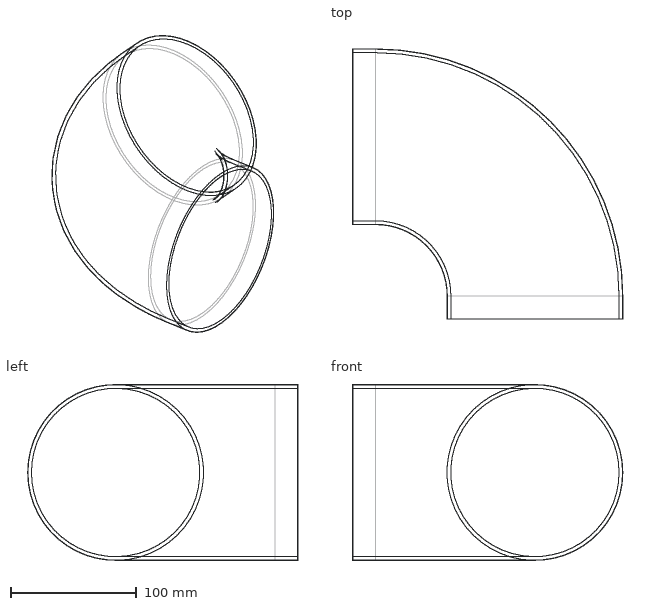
import cadquery as cq

overall_length = 215.0
outer_diameter = 140.0
inner_diameter = 133.9
collar_length = 18.3

bend_radius = overall_length - collar_length - outer_diameter / 2
axis_offset = collar_length + bend_radius


def elbow(diameter):
    """Solid 90 degree elbow with a straight collar at each end."""
    radius = diameter / 2
    side_collar = (
        cq.Workplane("YZ").center(axis_offset, 0).circle(radius).extrude(collar_length)
    )
    bend = (
        cq.Workplane("YZ", origin=(collar_length, axis_offset, 0))
        .circle(radius)
        .revolve(90, (-bend_radius, 0, 0), (-bend_radius, -1, 0))
    )
    front_collar = (
        cq.Workplane("XZ", origin=(axis_offset, collar_length, 0))
        .circle(radius)
        .extrude(collar_length)
    )
    return side_collar.union(bend).union(front_collar)


result = elbow(outer_diameter).cut(elbow(inner_diameter))